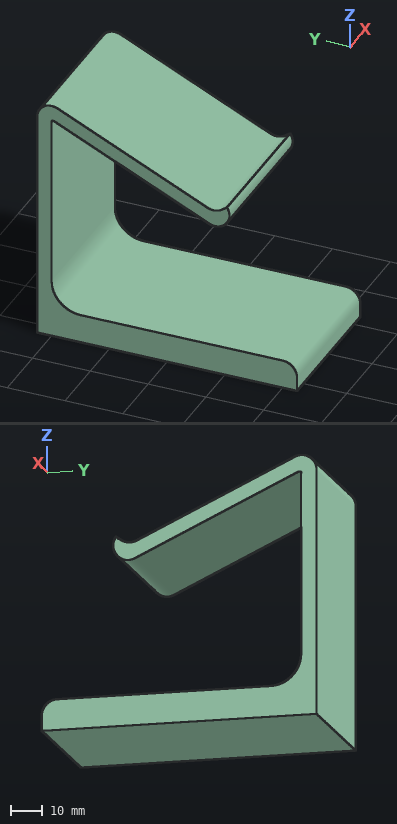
import cadquery as cq
import math

width = 50.0
depth = 90.0
height = 85.0

wall = 5.0
base_thickness = 2 * wall
base_nose_radius = wall
base_inner_radius = 2 * wall

arm_length = 60.0
arm_angle = math.radians(25)
arm_inner_radius = 0.5
lip_angle = math.radians(35)
lip_inner_radius = wall


def offset(point, distance, angle):
    """Point at a distance and an angle above horizontal from another point."""
    return (point[0] + distance * math.cos(angle), point[1] + distance * math.sin(angle))


bend_center = (wall, height - wall)
across_arm = math.pi / 2 - arm_angle
bend_start = (0, bend_center[1])
bend_middle = offset(bend_center, wall, (math.pi + across_arm) / 2)
bend_end = offset(bend_center, wall, across_arm)

lip_center = offset(bend_end, arm_length, -arm_angle)
lip_bottom = offset(bend_center, arm_length, -arm_angle)
lip_front = offset(lip_center, wall, (lip_angle - arm_angle - math.pi / 2) / 2)
lip_tip = offset(lip_center, wall, lip_angle)

lip_turn = arm_angle + lip_angle
blend_length = lip_inner_radius * math.tan(lip_turn / 2)
blend_start = offset(lip_center, -blend_length, -arm_angle)
blend_end = offset(lip_center, blend_length, lip_angle)
blend_center = offset(blend_start, lip_inner_radius, across_arm)
blend_middle = offset(blend_center, lip_inner_radius, (lip_angle - arm_angle - math.pi) / 2)

side_plane = cq.Plane(origin=(width / 2, 0, 0), xDir=(0, -1, 0), normal=(-1, 0, 0))
body = (
    cq.Workplane(side_plane)
    .moveTo(0, 0)
    .lineTo(*bend_start)
    .threePointArc(bend_middle, bend_end)
    .lineTo(*blend_start)
    .threePointArc(blend_middle, blend_end)
    .lineTo(*lip_tip)
    .threePointArc(lip_front, lip_bottom)
    .lineTo(*bend_center)
    .lineTo(wall, base_thickness)
    .lineTo(depth, base_thickness)
    .lineTo(depth, 0)
    .close()
    .extrude(width)
)


def round_corner(solid, corner, radius):
    """Round the edge that runs across the width at a corner of the profile."""
    forward, up = corner
    nearest = cq.selectors.NearestToPointSelector((0, -forward, up))
    return solid.edges("|X").edges(nearest).fillet(radius)


body = round_corner(body, bend_center, arm_inner_radius)
body = round_corner(body, (wall, base_thickness), base_inner_radius)
result = round_corner(body, (depth, base_thickness), base_nose_radius)